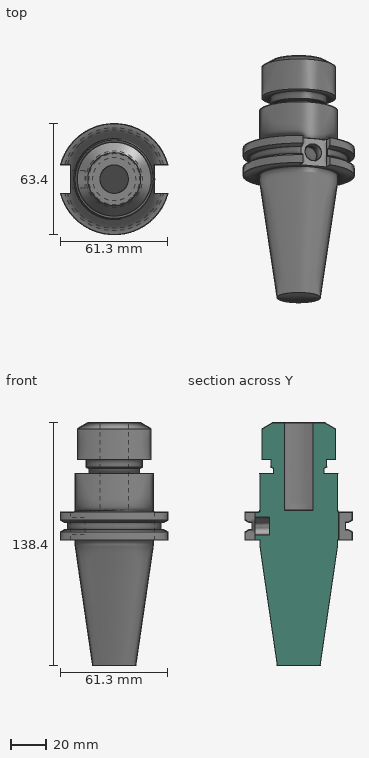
import cadquery as cq
import math

HEIGHT = 138.4

TAPER_LENGTH = 68.3
GAUGE_RADIUS = 22.3
TAPER_RATIO = 7 / 24
TIP_RADIUS = GAUGE_RADIUS - TAPER_LENGTH * TAPER_RATIO / 2
GAUGE_COLLAR_HEIGHT = 3.2

FLANGE_RADIUS = 31.7
FLANGE_THICKNESS = 15.9
FLANGE_BOTTOM = TAPER_LENGTH + GAUGE_COLLAR_HEIGHT
FLANGE_TOP = FLANGE_BOTTOM + FLANGE_THICKNESS
FLANGE_MIDDLE = (FLANGE_BOTTOM + FLANGE_TOP) / 2
GROOVE_FLOOR_RADIUS = 28.0
GROOVE_MOUTH_WIDTH = 6.8
GROOVE_FLANK_ANGLE = 30.0
GROOVE_FLANK_DEPTH = 2.4
GROOVE_UNDERCUT = 0.3
GROOVE_CREST_RADIUS = FLANGE_RADIUS - GROOVE_FLANK_DEPTH
GROOVE_HALF_MOUTH = GROOVE_MOUTH_WIDTH / 2
GROOVE_HALF_CREST = GROOVE_HALF_MOUTH - GROOVE_FLANK_DEPTH * math.tan(math.radians(GROOVE_FLANK_ANGLE))
GROOVE_HALF_FLOOR = GROOVE_HALF_CREST + GROOVE_UNDERCUT

BODY_RADIUS = 22.3
BODY_TOP = 109.5
FOOT_FILLET = 0.8

NECK_RADIUS = 14.5
COLLAR_RADIUS = 16.0
COLLAR_BOTTOM = 112.2
COLLAR_CHAMFER_HEIGHT = 0.8
NUT_RADIUS = 21.0
NUT_BOTTOM = 117.3
NUT_FACE_RADIUS = 15.1
NUT_CHAMFER_HEIGHT = 3.5

BORE_DIAMETER = 16.2
BORE_DEPTH = 49.8

SLOT_WIDTH = 16.2
SHALLOW_SLOT_FLOOR = 25.0
DEEP_SLOT_FLOOR = 22.8

SIDE_HOLE_DIAMETER = 9.8
SIDE_HOLE_DEPTH = 8.3


def make_holder():
    """Revolve the whole outer profile, drawn as radius and height, about Z."""
    profile = (
        cq.Workplane("XZ")
        .moveTo(0, 0)
        .lineTo(TIP_RADIUS, 0)
        .lineTo(GAUGE_RADIUS, TAPER_LENGTH)
        .lineTo(GAUGE_RADIUS, FLANGE_BOTTOM)
        .lineTo(FLANGE_RADIUS, FLANGE_BOTTOM)
        .lineTo(FLANGE_RADIUS, FLANGE_MIDDLE - GROOVE_HALF_MOUTH)
        .lineTo(GROOVE_CREST_RADIUS, FLANGE_MIDDLE - GROOVE_HALF_CREST)
        .lineTo(GROOVE_FLOOR_RADIUS, FLANGE_MIDDLE - GROOVE_HALF_FLOOR)
        .lineTo(GROOVE_FLOOR_RADIUS, FLANGE_MIDDLE + GROOVE_HALF_FLOOR)
        .lineTo(GROOVE_CREST_RADIUS, FLANGE_MIDDLE + GROOVE_HALF_CREST)
        .lineTo(FLANGE_RADIUS, FLANGE_MIDDLE + GROOVE_HALF_MOUTH)
        .lineTo(FLANGE_RADIUS, FLANGE_TOP)
        .lineTo(BODY_RADIUS + FOOT_FILLET, FLANGE_TOP)
        .radiusArc((BODY_RADIUS, FLANGE_TOP + FOOT_FILLET), FOOT_FILLET)
        .lineTo(BODY_RADIUS, BODY_TOP)
        .lineTo(NECK_RADIUS, BODY_TOP)
        .lineTo(NECK_RADIUS, COLLAR_BOTTOM)
        .lineTo(COLLAR_RADIUS, COLLAR_BOTTOM + COLLAR_CHAMFER_HEIGHT)
        .lineTo(COLLAR_RADIUS, NUT_BOTTOM)
        .lineTo(NUT_RADIUS, NUT_BOTTOM)
        .lineTo(NUT_RADIUS, HEIGHT - NUT_CHAMFER_HEIGHT)
        .lineTo(NUT_FACE_RADIUS, HEIGHT)
        .lineTo(0, HEIGHT)
        .close()
    )
    return profile.revolve(360, (0, 0, 0), (0, 1, 0))


def make_drive_slot(side, floor_distance):
    """Cutter for one flange slot; side is -1 for -X and +1 for +X."""
    length = FLANGE_RADIUS - floor_distance
    center_x = side * (floor_distance + length / 2)
    return (
        cq.Workplane("XY")
        .box(length, SLOT_WIDTH, FLANGE_THICKNESS)
        .translate((center_x, 0, FLANGE_MIDDLE))
    )


def make_collet_bore():
    return (
        cq.Workplane("XY")
        .workplane(offset=HEIGHT - BORE_DEPTH)
        .circle(BORE_DIAMETER / 2)
        .extrude(BORE_DEPTH)
    )


def make_side_hole():
    return (
        cq.Workplane("YZ")
        .workplane(offset=-SHALLOW_SLOT_FLOOR)
        .center(0, FLANGE_MIDDLE)
        .circle(SIDE_HOLE_DIAMETER / 2)
        .extrude(SIDE_HOLE_DEPTH)
    )


result = (
    make_holder()
    .cut(make_drive_slot(-1, SHALLOW_SLOT_FLOOR))
    .cut(make_drive_slot(1, DEEP_SLOT_FLOOR))
    .cut(make_collet_bore())
    .cut(make_side_hole())
)